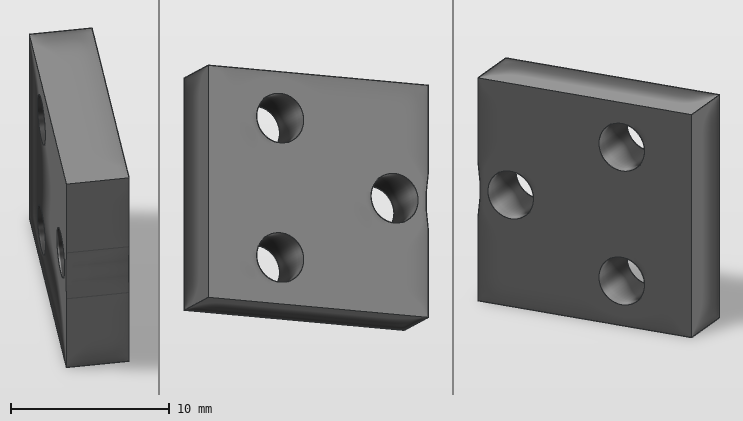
import cadquery as cq
import math

side = 15.0
thickness = 4.0
turn_angle = -55.0

hole_diameter = 3.2
hole_spacing = 9.0
hole_row_half_spacing = hole_spacing / 2
hole_circle_radius = hole_spacing / math.sqrt(3)
hole_row_inset = side / 2 - hole_circle_radius / 2
single_hole_inset = side / 2 + hole_circle_radius

groove_width = 3.75
groove_depth = 0.15


def make_plate():
    """Plate with its length along X, thickness along Y and height along Z."""
    return cq.Workplane("XY").box(side, thickness, side, centered=(False, False, True))


def make_holes():
    """Cylinders running through the plate thickness."""
    centers = [
        (hole_row_inset, hole_row_half_spacing),
        (hole_row_inset, -hole_row_half_spacing),
        (single_hole_inset, 0),
    ]
    return (
        cq.Workplane("XZ")
        .pushPoints(centers)
        .circle(hole_diameter / 2)
        .extrude(-thickness)
    )


def make_groove():
    """Circular segment that hollows the end face nearest the single hole."""
    return (
        cq.Workplane("XZ")
        .moveTo(side, groove_width / 2)
        .threePointArc((side - groove_depth, 0), (side, -groove_width / 2))
        .close()
        .extrude(-thickness)
    )


plate = make_plate().cut(make_holes()).cut(make_groove())
result = plate.rotate((0, 0, 0), (0, 0, 1), turn_angle)